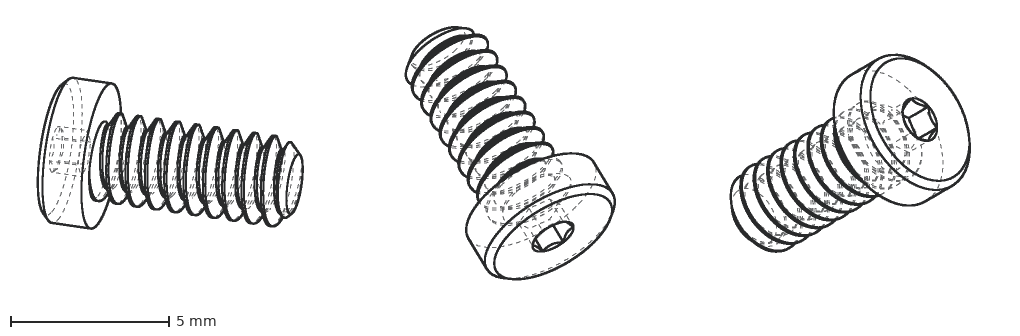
import cadquery as cq
import math

total_length = 7.85
head_length = 1.5
head_diameter = 4.65
head_chamfer = 0.22

shank_length = total_length - head_length
major_radius = 1.43
root_radius = 1.01
thread_count = 10
pitch = shank_length / thread_count
crest_width = pitch / 8
half_flank_angle = math.radians(30)
crest_offset = 0.455
tip_radius = 0.96
lead_in_turns = 2
run_out_turns = 1
envelope_clearance = 0.08
core_overlap = 0.03

socket_flats = 1.27
socket_corners = socket_flats / math.cos(math.radians(30))
socket_depth = 0.94


def make_head():
    head = cq.Workplane("YZ").circle(head_diameter / 2).extrude(head_length)
    return head.faces("<X").chamfer(head_chamfer)


def make_thread_ridge():
    """Right-handed ridge that starts inside the head and runs past the tip."""
    start = head_length + crest_offset - lead_in_turns * pitch
    turns = thread_count + lead_in_turns + run_out_turns
    half_crest = crest_width / 2
    inner_radius = root_radius - core_overlap
    half_base = half_crest + (major_radius - inner_radius) * math.tan(half_flank_angle)
    profile = [
        (start - half_base, inner_radius),
        (start - half_crest, major_radius),
        (start + half_crest, major_radius),
        (start + half_base, inner_radius),
    ]
    helix = cq.Wire.makeHelix(
        pitch, turns * pitch, root_radius,
        center=cq.Vector(start, 0, 0), dir=cq.Vector(1, 0, 0),
    )
    ridge = cq.Workplane("XZ").polyline(profile).close()
    return ridge.sweep(cq.Workplane(obj=helix), isFrenet=True)


def make_shank():
    """Threaded shank, trimmed to a 45 degree cone at the tip."""
    blank_length = total_length + (lead_in_turns + run_out_turns) * pitch
    core = cq.Workplane("YZ").circle(root_radius).extrude(blank_length)
    blank = core.union(make_thread_ridge())
    envelope_radius = major_radius + envelope_clearance
    cone_length = envelope_radius - tip_radius
    envelope = (
        cq.Workplane("XY")
        .moveTo(head_length, 0)
        .lineTo(head_length, envelope_radius)
        .lineTo(total_length - cone_length, envelope_radius)
        .lineTo(total_length, tip_radius)
        .lineTo(total_length, 0)
        .close()
        .revolve(360, (0, 0, 0), (1, 0, 0))
    )
    return blank.intersect(envelope)


def make_socket():
    """Hexagonal socket with a 45 degree countersink across its corners."""
    hexagon = cq.Workplane("YZ").polygon(6, socket_corners).extrude(socket_depth)
    corner_radius = socket_corners / 2
    countersink = cq.Solid.makeCone(
        corner_radius, 0, corner_radius, cq.Vector(0, 0, 0), cq.Vector(1, 0, 0)
    )
    return hexagon.union(cq.Workplane(obj=countersink))


result = make_head().union(make_shank()).cut(make_socket())